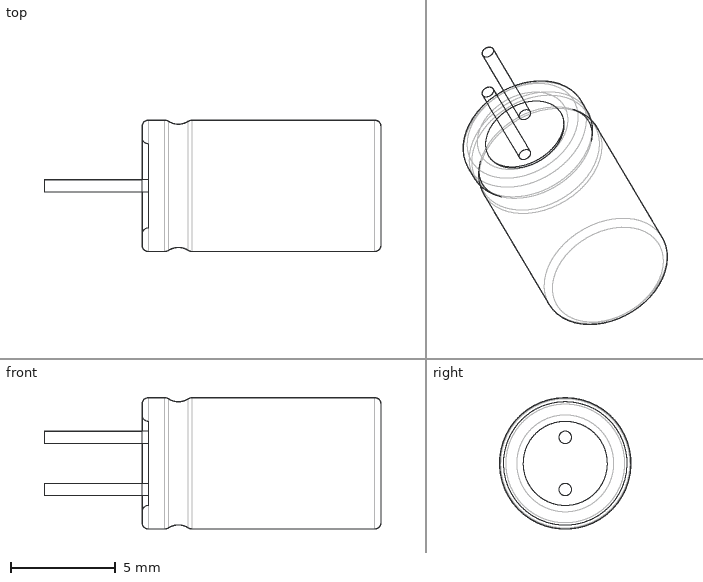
import cadquery as cq
import math

OVERALL_LENGTH = 16.1
CAN_LENGTH = 11.43
CAN_RADIUS = 6.3 / 2
EDGE_RADIUS = 0.3

RECESS_FLOOR_RADIUS = 2.01

GROOVE_OFFSET = 1.74
GROOVE_DEPTH = 0.2
GROOVE_HALF_WIDTH = 0.66
GROOVE_FLOOR_HALF_WIDTH = 0.47

LEAD_DIAMETER = 0.6
LEAD_PITCH = 2.5
LEAD_EMBED = 0.32

lead_tip_x = -OVERALL_LENGTH / 2
can_back_x = OVERALL_LENGTH / 2
can_front_x = can_back_x - CAN_LENGTH
recess_floor_x = can_front_x + EDGE_RADIUS
lip_radius = RECESS_FLOOR_RADIUS + EDGE_RADIUS
groove_x = can_front_x + GROOVE_OFFSET

groove_slope = 2 * math.atan(GROOVE_DEPTH / GROOVE_HALF_WIDTH)
groove_floor_radius = GROOVE_FLOOR_HALF_WIDTH / math.sin(groove_slope)
groove_blend_radius = (GROOVE_HALF_WIDTH - GROOVE_FLOOR_HALF_WIDTH) / math.sin(groove_slope)
groove_blend_drop = groove_blend_radius * (1 - math.cos(groove_slope))
groove_joint_z = CAN_RADIUS - groove_blend_drop


def make_can():
    """Revolve the half profile (axial X, radial Z) around the X axis."""
    profile = (
        cq.Workplane("XZ")
        .moveTo(recess_floor_x, 0)
        .lineTo(recess_floor_x, RECESS_FLOOR_RADIUS)
        .radiusArc((can_front_x, lip_radius), EDGE_RADIUS)
        .lineTo(can_front_x, CAN_RADIUS - EDGE_RADIUS)
        .radiusArc((can_front_x + EDGE_RADIUS, CAN_RADIUS), EDGE_RADIUS)
        .lineTo(groove_x - GROOVE_HALF_WIDTH, CAN_RADIUS)
        .radiusArc((groove_x - GROOVE_FLOOR_HALF_WIDTH, groove_joint_z), groove_blend_radius)
        .radiusArc((groove_x + GROOVE_FLOOR_HALF_WIDTH, groove_joint_z), -groove_floor_radius)
        .radiusArc((groove_x + GROOVE_HALF_WIDTH, CAN_RADIUS), groove_blend_radius)
        .lineTo(can_back_x - EDGE_RADIUS, CAN_RADIUS)
        .radiusArc((can_back_x, CAN_RADIUS - EDGE_RADIUS), EDGE_RADIUS)
        .lineTo(can_back_x, 0)
        .close()
    )
    return profile.revolve(360, (0, 0, 0), (1, 0, 0))


def make_leads():
    """Two round leads, one above the other, running from the tips into the can."""
    lead_length = recess_floor_x + LEAD_EMBED - lead_tip_x
    return (
        cq.Workplane("YZ", origin=(lead_tip_x, 0, 0))
        .pushPoints([(0, side * LEAD_PITCH / 2) for side in (-1, 1)])
        .circle(LEAD_DIAMETER / 2)
        .extrude(lead_length)
    )


result = make_can().union(make_leads())